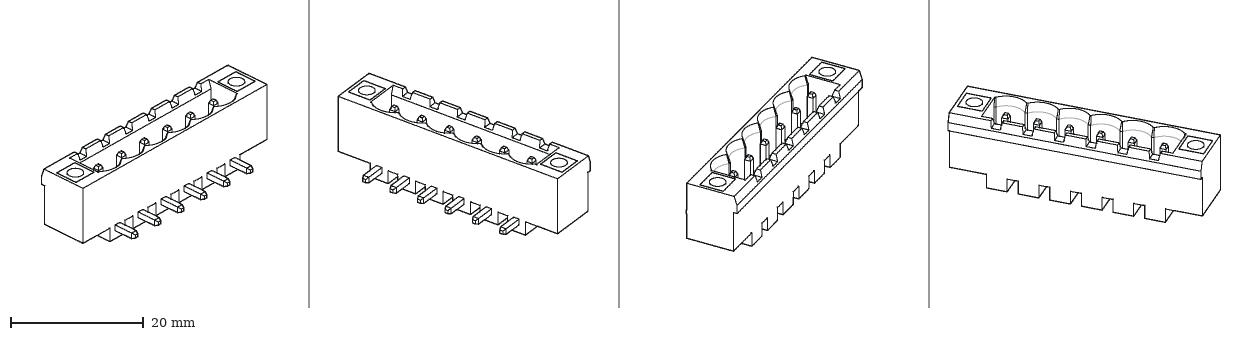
import cadquery as cq

length = 40.65
height = 12.2
body_back_x = 8.58
body_front_x = 0.6
body_bottom_z = 2.4
web_bottom_z = 2.28

lip_slope_width = 0.5
lip_slope_height = 1.45
lip_height = 2.93

pin_count = 6
pitch = 5.1
pin_x = 4.65
pin_y = [(i - (pin_count - 1) / 2) * pitch for i in range(pin_count)]

pin_size = 1.0
pin_tip_size = 0.55
pin_tip_length = 0.53
pin_top_z = 11.18
pin_end_x = 12.5
tail_z = 1.95

collar_base_diameter = 2.5
collar_top_diameter = 2.0
collar_height = 0.4

socket_floor_z = 4.05
socket_length = 30.72
socket_front_x = 1.65
socket_back_x = 6.6
rim_slope_width = 0.5
rim_slope_height = 1.45
lobe_radius = 3.05
lobe_rim_radius = 3.45

notch_top_width = 1.8
notch_bottom_width = 1.42
notch_depth = 1.1

foot_width = 3.35

hole_diameter = 2.5
hole_y = pin_y[-1] + pitch
recess_size = 4.0
recess_depth = 0.05


def block(x0, x1, y0, y1, z0, z1):
    """Axis-aligned box between opposite corners."""
    return cq.Workplane("XY").box(x1 - x0, y1 - y0, z1 - z0, centered=False).translate((x0, y0, z0))


def make_housing():
    """Housing bar with the front lip, plus the web and feet under the contacts."""
    profile = [
        (body_front_x, body_bottom_z),
        (body_back_x, body_bottom_z),
        (body_back_x, height),
        (lip_slope_width, height),
        (0, height - lip_slope_height),
        (0, height - lip_height),
        (body_front_x, height - lip_height),
    ]
    housing = cq.Workplane("XZ").polyline(profile).close().extrude(length / 2, both=True)
    web_end = pin_y[-1] + foot_width / 2
    housing = housing.union(
        block(body_front_x, body_back_x, -web_end, web_end, web_bottom_z, body_bottom_z)
    )
    for y in pin_y:
        foot = block(body_front_x, body_back_x, y - foot_width / 2, y + foot_width / 2, 0, web_bottom_z)
        housing = housing.union(foot)
    return housing


def make_socket():
    """Socket void: a trough with sloped long rims and one flared round lobe per pin."""
    profile = [
        (socket_front_x, socket_floor_z),
        (socket_back_x, socket_floor_z),
        (socket_back_x, height - rim_slope_height),
        (socket_back_x + rim_slope_width, height),
        (socket_front_x - rim_slope_width, height),
        (socket_front_x, height - rim_slope_height),
    ]
    socket = cq.Workplane("XZ").polyline(profile).close().extrude(socket_length / 2, both=True)
    lobe_profile = [
        (0, socket_floor_z),
        (lobe_radius, socket_floor_z),
        (lobe_radius, height - rim_slope_height),
        (lobe_rim_radius, height),
        (0, height),
    ]
    lobe = cq.Workplane("XZ").polyline(lobe_profile).close().revolve(360, (0, 0, 0), (0, 1, 0))
    lobe_limits = block(
        pin_x, body_back_x, -socket_length / 2, socket_length / 2, socket_floor_z, height
    )
    for y in pin_y:
        socket = socket.union(lobe.translate((pin_x, y, 0)).intersect(lobe_limits))
    return socket


def make_notch():
    """Keying notch through the front wall, narrowing downward, centred on y = 0."""
    profile = [
        (-notch_top_width / 2, height),
        (notch_top_width / 2, height),
        (notch_bottom_width / 2, height - notch_depth),
        (-notch_bottom_width / 2, height - notch_depth),
    ]
    return cq.Workplane("YZ").polyline(profile).close().extrude(socket_front_x)


def tapered_bar(plane, bar_length):
    """Square bar from the plane's origin, ending in a tapered tip."""
    bar = cq.Workplane(plane).rect(pin_size, pin_size).extrude(bar_length - pin_tip_length)
    tip = (
        cq.Workplane(plane)
        .workplane(offset=bar_length - pin_tip_length)
        .rect(pin_size, pin_size)
        .workplane(offset=pin_tip_length)
        .rect(pin_tip_size, pin_tip_size)
        .loft()
    )
    return bar.union(tip)


def make_contact():
    """L-shaped pin with its collar, in the plane y = 0."""
    bend_z = tail_z - pin_size / 2
    bend_x = pin_x - pin_size / 2
    post = tapered_bar("XY", pin_top_z - bend_z).translate((pin_x, 0, bend_z))
    tail = tapered_bar("YZ", pin_end_x - bend_x).translate((bend_x, 0, tail_z))
    collar = (
        cq.Workplane("XY")
        .circle(collar_base_diameter / 2)
        .workplane(offset=collar_height)
        .circle(collar_top_diameter / 2)
        .loft()
        .translate((pin_x, 0, socket_floor_z))
    )
    return post.union(tail).union(collar)


def cut_mounting_holes(housing):
    """Through hole in a shallow square recess at each end."""
    for y in (-hole_y, hole_y):
        top = cq.Workplane("XY", origin=(pin_x, y, height))
        housing = housing.cut(top.rect(recess_size, recess_size).extrude(-recess_depth))
        housing = housing.cut(top.circle(hole_diameter / 2).extrude(-height))
    return housing


result = make_housing().cut(make_socket())
result = cut_mounting_holes(result)
notch = make_notch()
contact = make_contact()
for y in pin_y:
    result = result.cut(notch.translate((0, y, 0)))
    result = result.union(contact.translate((0, y, 0)))